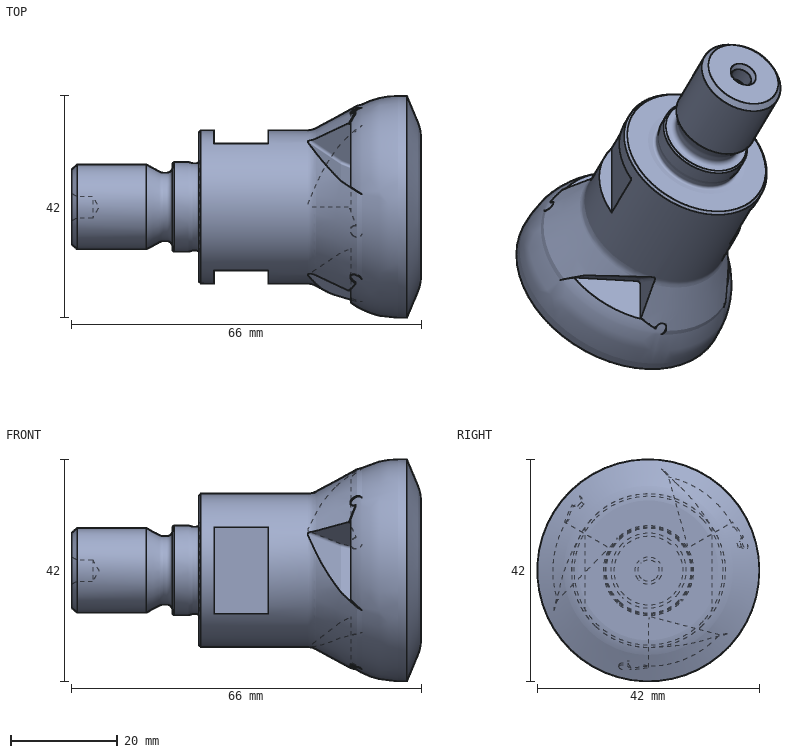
import cadquery as cq
import math

length = 65.95

shank_radius = 8.01
shank_end = 14.1
shank_chamfer_length = 1.05
shank_chamfer_depth = 0.9
neck_radius = 6.495
neck_taper_end = 16.6
neck_taper_radius = 6.65
neck_floor_start = 17.2
neck_round_start = 18.0

collar_radius = 8.5
collar_start = 19.0
collar_chamfer = 0.3
collar_taper_start = 22.0
collar_step_radius = 8.275
collar_step_start = 22.8
neck_round = collar_start - neck_round_start

body_radius = 14.5
body_start = 23.95
body_chamfer = 0.45
flat_start = 26.9
flat_end = 37.05
flat_distance = 12.0

undercut_outer_radius = 9.8
undercut_start = 23.55
undercut_depth = 0.1
undercut_round = body_start + undercut_depth - undercut_start

blend_start = 44.6
blend_radius = 3.1
cone_angle = math.radians(28.5)
cone_end = 53.9
blend_out_end = 54.7

head_back = 52.7
head_radius = 21.0
head_curve_radius = 14.9
head_curve_end = 61.5
head_rim_end = 63.25
face_radius = 13.2
face_round_start = 65.35
face_round_radius = 15.95

centre_hole_radius = 2.01
countersink_radius = 2.6
countersink_depth = 1.0
centre_hole_depth = 3.95
drill_half_angle = math.radians(60)

pocket_count = 3
pocket_apex = 43.8
pocket_apex_radius = 14.9
floor_fold = 50.8
floor_fold_radius = 9.5
floor_front_slope = math.radians(25)
floor_tilt = math.radians(14.6)
floor_round = 0.5

seat_turn = math.radians(14)
seat_floor_radius = 17.5
seat_wall_x = 51.95
notch_x = 53.7
notch_radius = 1.1
seat_lead_width = 1.0
seat_overrun = 1.0

clearance = 26.4


def head_radius_at(x):
    """Radius of the head where its arc crosses the given x."""
    drop = head_curve_radius - math.sqrt(head_curve_radius**2 - (head_curve_end - x) ** 2)
    return head_radius - drop


def turn_profile(profile):
    return profile.close().revolve(360, (0, 0, 0), (1, 0, 0))


def turned_shank_and_body():
    neck_round_middle = (
        neck_round_start + neck_round * math.sin(math.pi / 4),
        neck_radius + neck_round * (1 - math.cos(math.pi / 4)),
    )
    undercut_middle = (
        undercut_start + undercut_round * math.sin(math.pi / 4),
        collar_step_radius + undercut_round * (1 - math.cos(math.pi / 4)),
    )
    blend_end = blend_start + blend_radius * math.sin(cone_angle)
    cone_start_radius = body_radius + blend_radius * (1 - math.cos(cone_angle))
    blend_middle = (
        blend_start + blend_radius * math.sin(cone_angle / 2),
        body_radius + blend_radius * (1 - math.cos(cone_angle / 2)),
    )
    cone_end_radius = cone_start_radius + (cone_end - blend_end) * math.tan(cone_angle)
    profile = (
        cq.Workplane("XY")
        .moveTo(0, 0)
        .lineTo(0, shank_radius - shank_chamfer_depth)
        .lineTo(shank_chamfer_length, shank_radius)
        .lineTo(shank_end, shank_radius)
        .lineTo(neck_taper_end, neck_taper_radius)
        .tangentArcPoint((neck_floor_start, neck_radius), relative=False)
        .lineTo(neck_round_start, neck_radius)
        .threePointArc(neck_round_middle, (collar_start, neck_radius + neck_round))
        .lineTo(collar_start, collar_radius - collar_chamfer)
        .lineTo(collar_start + collar_chamfer, collar_radius)
        .lineTo(collar_taper_start, collar_radius)
        .lineTo(collar_step_start, collar_step_radius)
        .lineTo(undercut_start, collar_step_radius)
        .threePointArc(
            undercut_middle,
            (body_start + undercut_depth, collar_step_radius + undercut_round),
        )
        .lineTo(body_start, undercut_outer_radius)
        .lineTo(body_start, body_radius - body_chamfer)
        .lineTo(body_start + body_chamfer, body_radius)
        .lineTo(blend_start, body_radius)
        .threePointArc(blend_middle, (blend_end, cone_start_radius))
        .lineTo(cone_end, cone_end_radius)
        .lineTo(blend_out_end, head_radius_at(blend_out_end))
        .lineTo(blend_out_end, 0)
    )
    return turn_profile(profile)


def turned_head():
    curve_middle_x = (head_back + head_curve_end) / 2
    profile = (
        cq.Workplane("XY")
        .moveTo(head_back, 0)
        .lineTo(head_back, head_radius_at(head_back))
        .threePointArc(
            (curve_middle_x, head_radius_at(curve_middle_x)),
            (head_curve_end, head_radius),
        )
        .lineTo(head_rim_end, head_radius)
        .lineTo(face_round_start, face_round_radius)
        .tangentArcPoint((length, face_radius), relative=False)
        .lineTo(length, 0)
    )
    return turn_profile(profile)


def centre_hole():
    tip_depth = centre_hole_depth + centre_hole_radius / math.tan(drill_half_angle)
    profile = (
        cq.Workplane("XY")
        .moveTo(0, 0)
        .lineTo(0, countersink_radius)
        .lineTo(countersink_depth, centre_hole_radius)
        .lineTo(centre_hole_depth, centre_hole_radius)
        .lineTo(tip_depth, 0)
    )
    return turn_profile(profile)


def wrench_flat(side):
    depth = body_radius - flat_distance
    block = cq.Workplane("XY").box(flat_end - flat_start, 2 * depth, 2 * body_radius)
    return block.translate(((flat_start + flat_end) / 2, side * body_radius, 0))


def chip_pocket():
    """Pocket whose radial wall points along -Z and which opens toward +Y."""
    floor_normal_plane = cq.Plane(
        origin=(0, 0, 0),
        xDir=(1, 0, 0),
        normal=(0, math.cos(floor_tilt), -math.sin(floor_tilt)),
    )
    floor_end_radius = floor_fold_radius - (blend_out_end - floor_fold) * math.tan(floor_front_slope)
    wedge = (
        cq.Workplane(floor_normal_plane)
        .moveTo(pocket_apex, pocket_apex_radius * math.cos(floor_tilt))
        .lineTo(floor_fold, floor_fold_radius * math.cos(floor_tilt))
        .lineTo(blend_out_end, floor_end_radius * math.cos(floor_tilt))
        .lineTo(blend_out_end, clearance)
        .lineTo(pocket_apex, clearance)
        .close()
        .extrude(clearance, both=True)
    )
    open_side = cq.Workplane("XY").box(
        length, clearance, 4 * clearance, centered=(False, False, True)
    )
    rear_foot = (
        (pocket_apex + floor_fold) / 2,
        0,
        -(pocket_apex_radius + floor_fold_radius) / 2,
    )
    front_foot = (
        (floor_fold + blend_out_end) / 2,
        0,
        -(floor_fold_radius + floor_end_radius) / 2,
    )
    wall_foot = cq.NearestToPointSelector(rear_foot) + cq.NearestToPointSelector(front_foot)
    return wedge.intersect(open_side).edges(wall_foot).fillet(floor_round)


def hook_seat():
    """Seat on the -Y side of the pocket wall that points along -Z."""
    outward = (0, -math.sin(seat_turn), -math.cos(seat_turn))
    floor_plane = cq.Plane(
        origin=tuple(seat_floor_radius * part for part in outward),
        xDir=(1, 0, 0),
        normal=outward,
    )
    wall_offset = -seat_floor_radius * math.tan(seat_turn) - seat_overrun
    lead = (
        cq.Workplane(floor_plane)
        .moveTo(seat_wall_x, wall_offset)
        .lineTo(notch_x, -seat_lead_width)
        .lineTo(blend_out_end, 0)
        .lineTo(blend_out_end, wall_offset)
        .close()
        .extrude(clearance)
    )
    notch = cq.Workplane(floor_plane).center(notch_x, 0).circle(notch_radius).extrude(clearance)
    return lead.union(notch)


result = turned_shank_and_body().cut(centre_hole())
for side in (-1, 1):
    result = result.cut(wrench_flat(side))
for index in range(pocket_count):
    turn = index * 360 / pocket_count
    for cutter in (chip_pocket(), hook_seat()):
        result = result.cut(cutter.rotate((0, 0, 0), (1, 0, 0), turn))
result = result.union(turned_head())